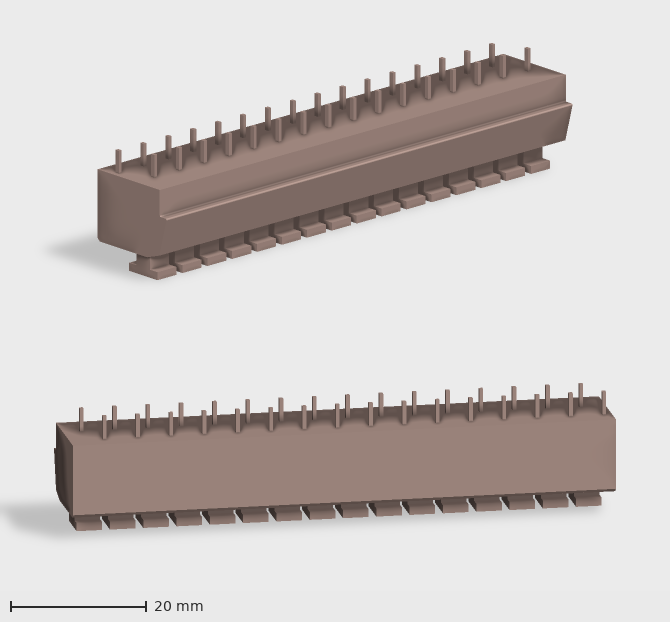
import cadquery as cq

length = 81.5
housing_width = 13.5
hook_reach = 15.0
housing_bottom = 3.5
housing_top = 14.6
hook_top = 10.4
hook_radius = 0.25
slope_end_x = 13.45
slope_end_z = 4.4
flat_bottom_end_x = 10.75
bottom_edge_chamfer = 0.5

position_count = 16
position_span = 75.0
pitch = position_span / (position_count - 1)

pin_size_x = 0.7
pin_size_y = 0.6
pin_top = 18.1
left_row_x = 3.3
right_row_x = left_row_x + pitch
left_row_start_y = 1.2
right_row_start_y = left_row_start_y + pitch / 2

foot_center_x = 8.8
foot_width = 6.2
foot_thickness = 1.2
stem_width = 2.9
foot_length = 3.8
foot_start_y = 1.1


def make_housing():
    """Plain block with a chamfered lower edge and a hook-shaped ledge on the +X side."""
    tip_bottom = hook_top - hook_radius
    tip_inner_x = hook_reach - hook_radius
    profile = (
        cq.Workplane("XZ")
        .moveTo(0, housing_bottom + bottom_edge_chamfer)
        .lineTo(bottom_edge_chamfer, housing_bottom)
        .lineTo(flat_bottom_end_x, housing_bottom)
        .lineTo(slope_end_x, slope_end_z)
        .lineTo(hook_reach, tip_bottom)
        .radiusArc((tip_inner_x, hook_top), -hook_radius)
        .lineTo(housing_width + hook_radius, hook_top)
        .radiusArc((housing_width, hook_top + hook_radius), hook_radius)
        .lineTo(housing_width, housing_top)
        .lineTo(0, housing_top)
        .close()
    )
    return profile.extrude(-length)


def make_pin_row(row_x, start_y):
    centers = [(row_x, start_y + i * pitch) for i in range(position_count)]
    plane = cq.Workplane("XY").workplane(offset=housing_top)
    return plane.pushPoints(centers).rect(pin_size_x, pin_size_y).extrude(pin_top - housing_top)


def make_foot(start_y):
    half_foot = foot_width / 2
    half_stem = stem_width / 2
    right_half = [
        (half_foot, 0),
        (half_foot, foot_thickness),
        (half_stem, foot_thickness),
        (half_stem, housing_bottom),
    ]
    left_half = [(-x, z) for x, z in reversed(right_half)]
    plane = cq.Workplane("XZ", origin=(foot_center_x, start_y, 0))
    return plane.polyline(right_half + left_half).close().extrude(-foot_length)


result = make_housing()
result = result.union(make_pin_row(left_row_x, left_row_start_y))
result = result.union(make_pin_row(right_row_x, right_row_start_y))
for i in range(position_count):
    result = result.union(make_foot(foot_start_y + i * pitch))